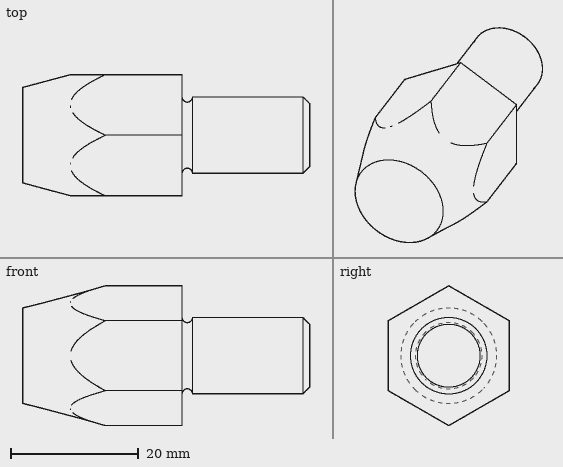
import cadquery as cq
import math

head_length = 25.0
across_flats = 19.0
across_corners = across_flats / math.cos(math.radians(30))

nose_end_radius = 7.5
nose_half_angle = 15.0

stud_length = 20.0
stud_radius = 6.0
stud_chamfer = 1.07

groove_arc_radius = 0.8
groove_floor_radius = stud_radius - groove_arc_radius

total_length = head_length + stud_length


def make_head():
    """Hexagonal bar along X with two flats facing -Y and +Y, tapered to a cone."""
    bar = (
        cq.Workplane("YZ")
        .polygon(6, across_corners)
        .extrude(head_length)
        .rotate((0, 0, 0), (1, 0, 0), 90)
    )
    cone_end_radius = nose_end_radius + head_length * math.tan(math.radians(nose_half_angle))
    cone = (
        cq.Workplane("XY")
        .polyline([(0, 0), (0, nose_end_radius), (head_length, cone_end_radius), (head_length, 0)])
        .close()
        .revolve(360, (0, 0, 0), (1, 0, 0))
    )
    return bar.intersect(cone)


def make_stud():
    """Round stud with a semicircular relief groove at the head and a chamfered tip."""
    groove_middle = head_length + groove_arc_radius
    groove_end = groove_middle + groove_arc_radius
    profile = (
        cq.Workplane("XY")
        .moveTo(head_length, 0)
        .lineTo(head_length, stud_radius)
        .radiusArc((groove_middle, groove_floor_radius), -groove_arc_radius)
        .radiusArc((groove_end, stud_radius), -groove_arc_radius)
        .lineTo(total_length - stud_chamfer, stud_radius)
        .lineTo(total_length, stud_radius - stud_chamfer)
        .lineTo(total_length, 0)
        .close()
    )
    return profile.revolve(360, (0, 0, 0), (1, 0, 0))


result = make_head().union(make_stud())